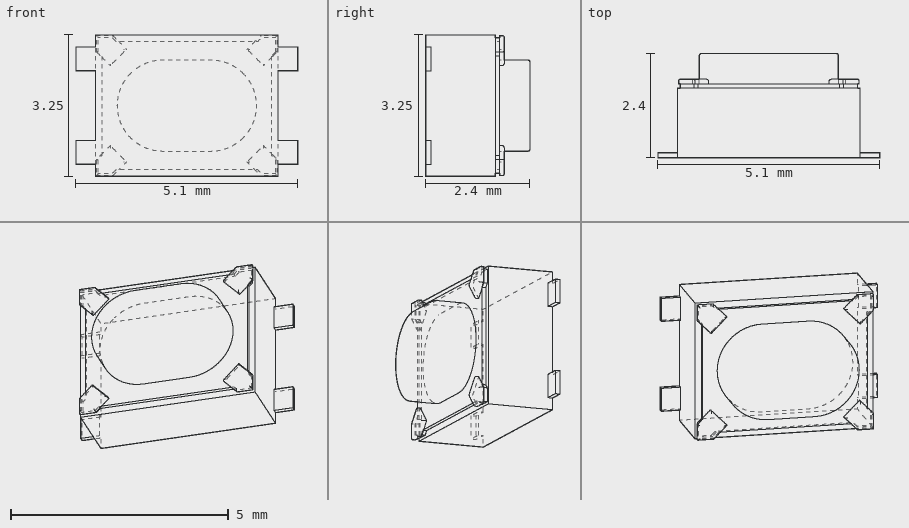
import cadquery as cq

body_width = 4.2
body_height = 3.25
body_depth = 1.6

leg_span = 5.1
leg_width = 0.55
leg_thickness = 0.12
leg_pitch = 2.15

plate_width = 4.08
plate_height = 3.12
plate_thickness = 0.1
plate_recess = 0.09
plate_corner_length = 0.325

clip_span_x = 4.15
clip_span_z = 3.22
clip_thickness = 0.11
clip_edge_length = 0.375
clip_reach = 0.315
clip_round = 0.05

button_length = 3.2
button_width = 2.1
button_round = 0.05
total_depth = 2.4

plate_top = body_depth + plate_thickness


def sketch_plane(y):
    """Workplane at depth y whose local axes are X and Z; a negative extrusion goes toward +Y."""
    return cq.Workplane("XZ", origin=(0, y, 0))


def make_body():
    """Plain rectangular housing."""
    return sketch_plane(0).rect(body_width, body_height).extrude(-body_depth)


def make_legs():
    """Two bars crossing the housing, whose ends stand out as four legs."""
    bars = sketch_plane(0).pushPoints([(0, -leg_pitch / 2), (0, leg_pitch / 2)])
    return bars.rect(leg_span, leg_width).extrude(-leg_thickness)


def edge_recess(width, height, side):
    """Trapezoid removed from one edge of the plate; 45 degree ends, mirrored by side (-1 or 1)."""
    half_outer = width / 2
    half_inner = half_outer - plate_recess
    outer = side * height / 2
    inner = side * (height / 2 - plate_recess)
    return [(-half_outer, outer), (half_outer, outer), (half_inner, inner), (-half_inner, inner)]


def make_plate():
    """Rectangular plate with a shallow recess along each of its four edges."""
    plate = sketch_plane(body_depth).rect(plate_width, plate_height).extrude(-plate_thickness)
    recess_width = plate_width - 2 * plate_corner_length
    recess_height = plate_height - 2 * plate_corner_length
    for side in (-1, 1):
        long_edge = edge_recess(recess_width, plate_height, side)
        short_edge = [(x, z) for z, x in edge_recess(recess_height, plate_width, side)]
        for outline in (long_edge, short_edge):
            recess = sketch_plane(body_depth).polyline(outline).close().extrude(-plate_thickness)
            plate = plate.cut(recess)
    return plate


def make_clip(sx, sz):
    """Pentagonal clip in the corner given by the signs sx and sz."""
    corner_x = clip_span_x / 2
    corner_z = clip_span_z / 2
    edge_x = corner_x - clip_edge_length
    edge_z = corner_z - clip_edge_length
    outline = [
        (corner_x, corner_z),
        (edge_x, corner_z),
        (edge_x - clip_reach, corner_z - clip_reach),
        (corner_x - clip_reach, edge_z - clip_reach),
        (corner_x, edge_z),
    ]
    points = [(sx * x, sz * z) for x, z in outline]
    clip = sketch_plane(plate_top).polyline(points).close().extrude(-clip_thickness)
    return clip.faces(">Y").edges().fillet(clip_round)


def make_button():
    """Round-ended button standing on the housing, passing through the plate."""
    button_height = total_depth - body_depth
    button = sketch_plane(body_depth).slot2D(button_length, button_width).extrude(-button_height)
    return button.faces(">Y").edges().fillet(button_round)


result = make_body().union(make_legs()).union(make_plate()).union(make_button())
for sign_x in (-1, 1):
    for sign_z in (-1, 1):
        result = result.union(make_clip(sign_x, sign_z))